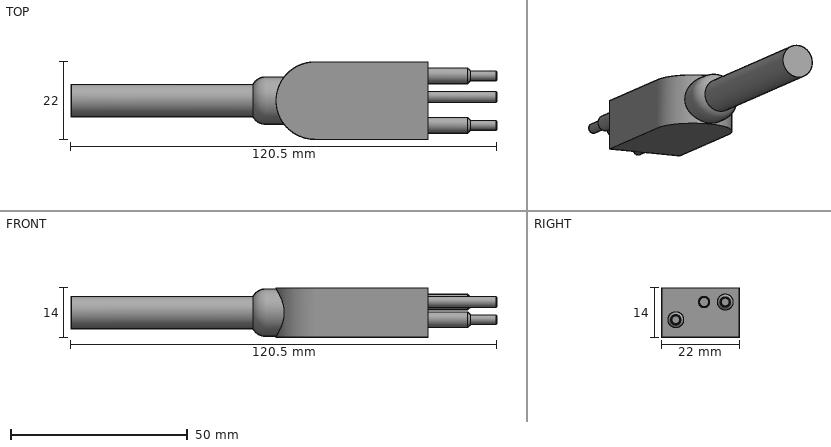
import cadquery as cq

BODY_WIDTH = 22.0
BODY_HEIGHT = 14.0
REAR_RADIUS = BODY_WIDTH / 2
BODY_STRAIGHT = 32.0
FACE_X = BODY_STRAIGHT

OVERALL_LENGTH = 120.5
CABLE_DIAMETER = 9.2
COLLAR_DIAMETER = 13.5
COLLAR_LENGTH = 7.0
COLLAR_ROUND = 4.0

PIN_LENGTH = 19.5
PIN_TIP_CHAMFER = 0.3
PLAIN_PIN_DIAMETER = 3.2
STEPPED_PIN_DIAMETER = 2.8
SLEEVE_DIAMETER = 4.5
SLEEVE_LENGTH = 12.0
SLEEVE_CHAMFER = 0.8
PLAIN_PIN_POSITION = (1.0, 3.0)
STEPPED_PIN_POSITIONS = [(7.0, 3.0), (-7.0, -2.0)]

CABLE_END_X = FACE_X + PIN_LENGTH - OVERALL_LENGTH
COLLAR_END_X = -REAR_RADIUS - COLLAR_LENGTH


def make_body():
    """Constant-height body with a half-round rear end."""
    return (
        cq.Workplane("XY")
        .workplane(offset=-BODY_HEIGHT / 2)
        .moveTo(FACE_X, -REAR_RADIUS)
        .lineTo(FACE_X, REAR_RADIUS)
        .lineTo(0, REAR_RADIUS)
        .threePointArc((-REAR_RADIUS, 0), (0, -REAR_RADIUS))
        .close()
        .extrude(BODY_HEIGHT)
    )


def make_collar():
    """Strain-relief collar with a rounded shoulder; it runs into the body up to X = 0."""
    return (
        cq.Workplane("YZ")
        .circle(COLLAR_DIAMETER / 2)
        .extrude(COLLAR_END_X)
        .faces("<X")
        .edges()
        .fillet(COLLAR_ROUND)
    )


def make_cable():
    """Round cable; it runs through the collar and into the body up to X = 0."""
    return cq.Workplane("YZ").circle(CABLE_DIAMETER / 2).extrude(CABLE_END_X)


def make_rod(position, diameter, length, chamfer):
    """Round rod standing on the mating face, chamfered at its free end."""
    y, z = position
    return (
        cq.Workplane("YZ", origin=(FACE_X, y, z))
        .circle(diameter / 2)
        .extrude(length)
        .faces(">X")
        .chamfer(chamfer)
    )


def make_stepped_pin(position):
    """Contact pin with a thicker sleeve at its root."""
    pin = make_rod(position, STEPPED_PIN_DIAMETER, PIN_LENGTH, PIN_TIP_CHAMFER)
    sleeve = make_rod(position, SLEEVE_DIAMETER, SLEEVE_LENGTH, SLEEVE_CHAMFER)
    return pin.union(sleeve)


result = make_body().union(make_collar()).union(make_cable())
result = result.union(make_rod(PLAIN_PIN_POSITION, PLAIN_PIN_DIAMETER, PIN_LENGTH, PIN_TIP_CHAMFER))
for pin_position in STEPPED_PIN_POSITIONS:
    result = result.union(make_stepped_pin(pin_position))